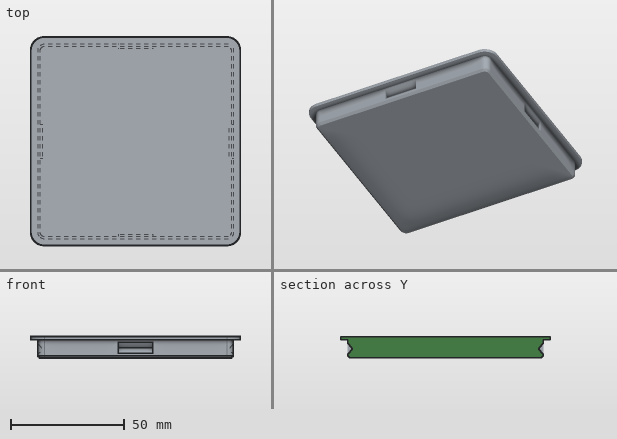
import cadquery as cq

plate_length = 92.0
plate_width = 91.5
plate_thickness = 1.5
plate_corner_radius = 6.0

total_height = 9.5
body_inset = 3.0
body_length = plate_length - 2 * body_inset
body_width = plate_width - 2 * body_inset
body_height = total_height - plate_thickness
body_corner_radius = plate_corner_radius - body_inset
bottom_chamfer = 1.0

notch_length = 15.0
notch_height = 5.0
notch_depth = 2.0
y_wall_notch_gap = 1.0
x_wall_notch_gap = 1.5


def rounded_block(length, width, height, corner_radius):
    """Block standing on Z = 0, centred in X and Y, with rounded upright edges."""
    block = cq.Workplane("XY").box(length, width, height, centered=(True, True, False))
    return block.edges("|Z").fillet(corner_radius)


def notch_cutter(wall_distance, top_gap, angle):
    """Triangular prism entering a wall, its top edge top_gap below the plate.

    The wall lies wall_distance from the Z axis. At angle 0 it faces -Y; other
    angles turn the prism about Z, and 270 puts it on the -X wall.
    """
    half_height = notch_height / 2
    center_z = body_height - top_gap - half_height
    prism = (
        cq.Workplane("YZ")
        .moveTo(-wall_distance, center_z + half_height)
        .lineTo(-wall_distance + notch_depth, center_z)
        .lineTo(-wall_distance, center_z - half_height)
        .close()
        .extrude(notch_length / 2, both=True)
    )
    return prism.rotate((0, 0, 0), (0, 0, 1), angle)


body = rounded_block(body_length, body_width, body_height, body_corner_radius)
body = body.faces("<Z").edges().chamfer(bottom_chamfer)

for side_angle in (0, 180):
    body = body.cut(notch_cutter(body_width / 2, y_wall_notch_gap, side_angle))
for side_angle in (90, 270):
    body = body.cut(notch_cutter(body_length / 2, x_wall_notch_gap, side_angle))

plate = rounded_block(plate_length, plate_width, plate_thickness, plate_corner_radius)
result = body.union(plate.translate((0, 0, body_height)))